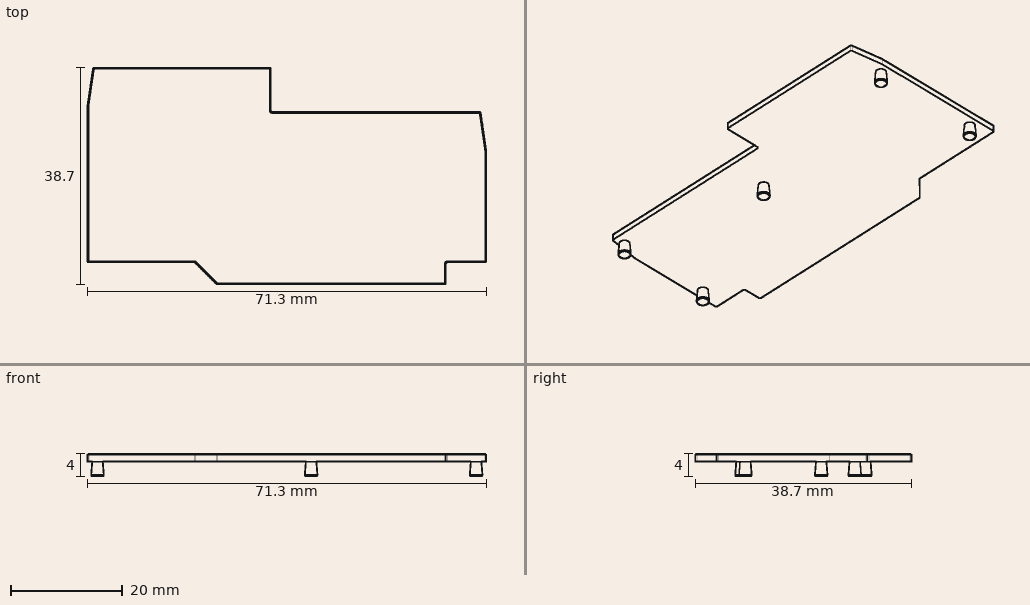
import cadquery as cq

length = 71.3
width = 38.7
height = 4.0
plate_thickness = 1.4

right_x = length / 2
left_x = -right_x
back_y = width / 2
front_y = -back_y

front_setback = 3.9
chamfer_start = 19.2
right_notch = 7.2
back_step_x = -2.85
back_step_depth = 7.9
taper_inset = 1.0
taper_length = 6.8

side_front_y = front_y + front_setback
right_back_y = back_y - back_step_depth
notch_x = right_x - right_notch

corner_radius = 0.28
top_chamfer = 0.2

pin_top_radius = 0.96
pin_bottom_radius = 1.15
pin_tip_chamfer = 0.1
pin_tip_height = 0.25
pin_side_inset = 1.8
pin_length = height - plate_thickness
left_pin_x = left_x + pin_side_inset
right_pin_x = right_x - pin_side_inset
pin_centers = [
    (left_pin_x, 11.1),
    (left_pin_x, -11.05),
    (4.35, 3.2),
    (right_pin_x, 9.2),
    (right_pin_x, -10.35),
]


def make_plate():
    """Flat plate with its bottom on z = 0, rounded corners and a broken top edge."""
    outline = [
        (left_x, side_front_y),
        (left_x + chamfer_start, side_front_y),
        (left_x + chamfer_start + front_setback, front_y),
        (notch_x, front_y),
        (notch_x, side_front_y),
        (right_x, side_front_y),
        (right_x, right_back_y - taper_length),
        (right_x - taper_inset, right_back_y),
        (back_step_x, right_back_y),
        (back_step_x, back_y),
        (left_x + taper_inset, back_y),
        (left_x, back_y - taper_length),
    ]
    plate = cq.Workplane("XY").polyline(outline).close().extrude(plate_thickness)
    plate = plate.edges("|Z").fillet(corner_radius)
    return plate.faces(">Z").chamfer(top_chamfer)


def make_pin(center):
    """Round pin below the plate that widens toward its chamfered tip."""
    profile = [
        (0, 0),
        (pin_top_radius, 0),
        (pin_bottom_radius, pin_tip_height - pin_length),
        (pin_bottom_radius - pin_tip_chamfer, -pin_length),
        (0, -pin_length),
    ]
    pin = cq.Workplane("XZ").polyline(profile).close().revolve(360, (0, 0, 0), (0, 1, 0))
    return pin.translate((*center, 0))


result = make_plate()
for pin_center in pin_centers:
    result = result.union(make_pin(pin_center))